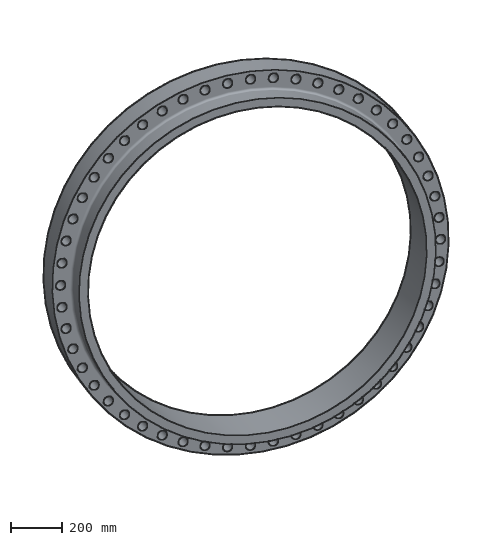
import cadquery as cq

outer_diameter = 1613.0
overall_length = 211.0
bore_diameter = 1377.0

flange_back = 121.0
raised_face_diameter = 1505.0
raised_face_height = 2.0

hub_diameter = 1452.0
hub_fillet_radius = 10.0

bolt_count = 52
bolt_circle_diameter = 1545.0
bolt_hole_diameter = 39.0


def ring_body():
    """Revolve half of the ring's cross-section about the X axis."""
    outer_radius = outer_diameter / 2
    bore_radius = bore_diameter / 2
    hub_radius = hub_diameter / 2
    raised_face_radius = raised_face_diameter / 2
    section = (
        cq.Workplane("XZ")
        .moveTo(0, bore_radius)
        .lineTo(0, raised_face_radius)
        .lineTo(raised_face_height, raised_face_radius)
        .lineTo(raised_face_height, outer_radius)
        .lineTo(flange_back, outer_radius)
        .lineTo(flange_back, hub_radius + hub_fillet_radius)
        .radiusArc((flange_back + hub_fillet_radius, hub_radius), -hub_fillet_radius)
        .lineTo(overall_length, hub_radius)
        .lineTo(overall_length, bore_radius)
        .close()
    )
    return section.revolve(360, (0, 0, 0), (1, 0, 0))


def bolt_holes():
    """Through holes for the bolts, the first one on the Y axis."""
    return (
        cq.Workplane("YZ")
        .polarArray(bolt_circle_diameter / 2, 0, 360, bolt_count)
        .circle(bolt_hole_diameter / 2)
        .extrude(flange_back)
    )


result = ring_body().cut(bolt_holes())